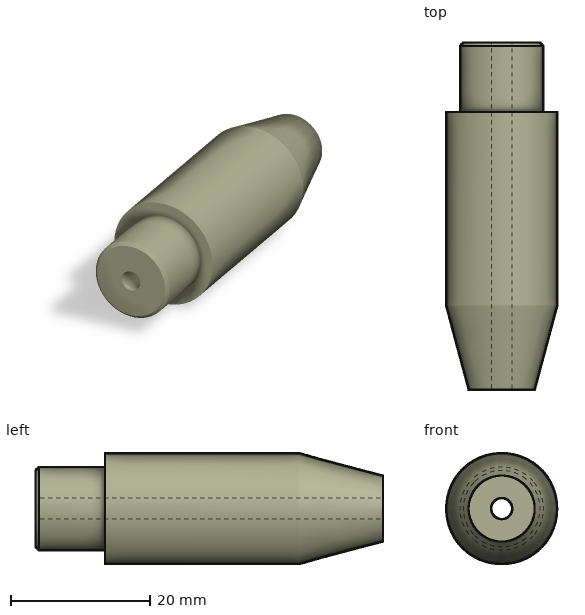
import cadquery as cq

total_length = 50.0
body_diameter = 16.0
shank_diameter = 12.0
shank_length = 10.0
shank_chamfer = 0.5
nose_length = 12.1
tip_diameter = 9.5
bore_diameter = 3.0

body_radius = body_diameter / 2
shank_radius = shank_diameter / 2
tip_radius = tip_diameter / 2
shoulder_y = total_length - shank_length

turned_body = (
    cq.Workplane("XY")
    .lineTo(tip_radius, 0)
    .lineTo(body_radius, nose_length)
    .lineTo(body_radius, shoulder_y)
    .lineTo(shank_radius, shoulder_y)
    .lineTo(shank_radius, total_length - shank_chamfer)
    .lineTo(shank_radius - shank_chamfer, total_length)
    .lineTo(0, total_length)
    .close()
    .revolve(360, (0, 0, 0), (0, 1, 0))
)

bore = cq.Workplane("XZ").circle(bore_diameter / 2).extrude(-total_length)

result = turned_body.cut(bore)